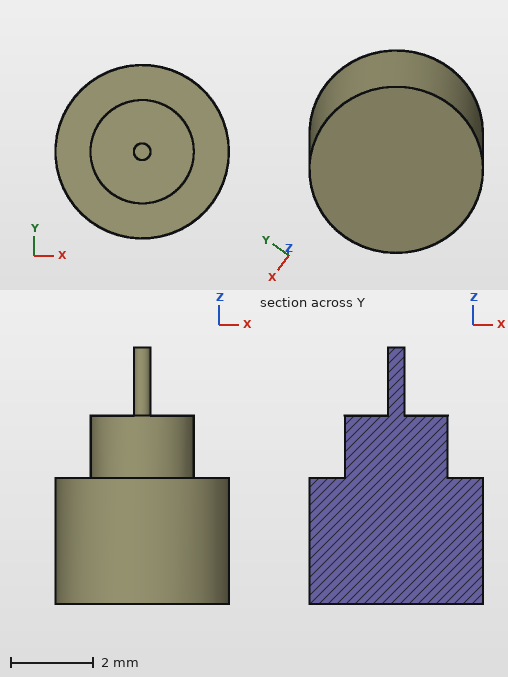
import cadquery as cq

total_height = 6.2
body_diameter = 4.2
body_height = 3.05
collar_diameter = 2.5
collar_height = 1.5
insulator_diameter = 1.95
pin_diameter = 0.4

collar_top = body_height + collar_height


def cylinder(diameter, bottom, top):
    """Vertical cylinder on the Z axis between two heights."""
    return cq.Workplane("XY").workplane(offset=bottom).circle(diameter / 2).extrude(top - bottom)


body = cylinder(body_diameter, 0, body_height)
collar = cylinder(collar_diameter, body_height, collar_top)
insulator = cylinder(insulator_diameter, body_height, collar_top)
shell = body.union(collar).cut(insulator)

pin = cylinder(pin_diameter, collar_top, total_height)

result = shell.union(insulator, clean=False).union(pin, clean=False)